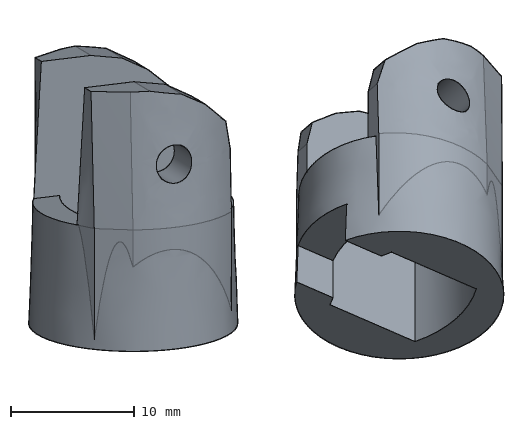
import cadquery as cq

base_height = 10.2
base_bottom_radius = 8.5
base_top_radius = 8.17

total_height = 21.7
gap_half_width = 4.3
prong_back_y = 6.15

foot_front_corner = (gap_half_width, -6.93)
foot_front_ridge = (5.88, -6.1)
foot_side_ridge = (7.54, -3.4)
foot_bulge = (8.23, 0.0)
foot_back_corner = (5.78, prong_back_y)
tip_front_corner = (gap_half_width, -6.25)
tip_front_ridge = (5.57, -6.25)
tip_side_ridge = (7.0, -3.4)
tip_bulge = (7.57, 0.0)
tip_back_corner = (5.3, prong_back_y)

crest_points = [
    (prong_back_y, 15.45),
    (5.6, 17.92),
    (3.27, 19.9),
    (0.95, 21.15),
    (-1.86, total_height),
]

pin_diameter = 3.18
pin_y = 0.14
pin_z = 15.45

opening_center_y = -0.4
opening_side_half_length = 4.22
opening_middle_half_length = 5.18

notch_width = 6.8
notch_height = 3.8

overrun = 5.0


def make_base():
    """Tapered round plug."""
    return (
        cq.Workplane("XY")
        .circle(base_bottom_radius)
        .workplane(offset=base_height)
        .circle(base_top_radius)
        .loft(ruled=True)
    )


def draw_prong_section(plane, front_corner, front_ridge, side_ridge, bulge, back_corner):
    """Prong cross-section: flat inside and back, two front facets and a round outside."""
    return (
        plane.moveTo(*front_corner)
        .lineTo(*front_ridge)
        .lineTo(*side_ridge)
        .threePointArc(bulge, back_corner)
        .lineTo(gap_half_width, prong_back_y)
        .close()
    )


def make_crest_cutter():
    """Body above the sloping back of the prongs."""
    back_y = prong_back_y + overrun
    roof_z = total_height + overrun
    span = base_bottom_radius + overrun
    return (
        cq.Workplane("YZ")
        .polyline(crest_points)
        .lineTo(crest_points[-1][0], roof_z)
        .lineTo(back_y, roof_z)
        .lineTo(back_y, crest_points[0][1])
        .close()
        .extrude(span, both=True)
    )


def make_prong():
    """Prong on the +X side: a straight foot running down the base and a leaning blade."""
    foot_section = (foot_front_corner, foot_front_ridge, foot_side_ridge, foot_bulge, foot_back_corner)
    tip_section = (tip_front_corner, tip_front_ridge, tip_side_ridge, tip_bulge, tip_back_corner)
    foot = draw_prong_section(cq.Workplane("XY"), *foot_section).extrude(base_height)
    foot = foot.intersect(cq.Workplane("XY").circle(base_bottom_radius).extrude(base_height))
    blade = draw_prong_section(cq.Workplane("XY").workplane(offset=base_height), *foot_section)
    blade = draw_prong_section(blade.workplane(offset=total_height - base_height), *tip_section)
    blade = blade.loft(ruled=True).cut(make_crest_cutter())
    return foot.union(blade)


def make_pin_hole():
    """Cylinder along X through both prongs."""
    return (
        cq.Workplane("YZ")
        .center(pin_y, pin_z)
        .circle(pin_diameter / 2)
        .extrude(base_bottom_radius + overrun, both=True)
    )


def make_opening():
    """Through opening with straight sides and shallow arced ends."""
    return (
        cq.Workplane("XY")
        .center(0, opening_center_y)
        .moveTo(-gap_half_width, -opening_side_half_length)
        .threePointArc((0, -opening_middle_half_length), (gap_half_width, -opening_side_half_length))
        .lineTo(gap_half_width, opening_side_half_length)
        .threePointArc((0, opening_middle_half_length), (-gap_half_width, opening_side_half_length))
        .close()
        .extrude(base_height)
    )


def make_notch():
    """Rectangular notch from the opening out through the back wall."""
    length = base_bottom_radius + overrun
    return cq.Workplane("XY").box(notch_width, length, notch_height, centered=(True, False, False))


prong = make_prong()
result = (
    make_base()
    .union(prong)
    .union(prong.mirror("YZ"))
    .cut(make_opening())
    .cut(make_notch())
    .cut(make_pin_hole())
)